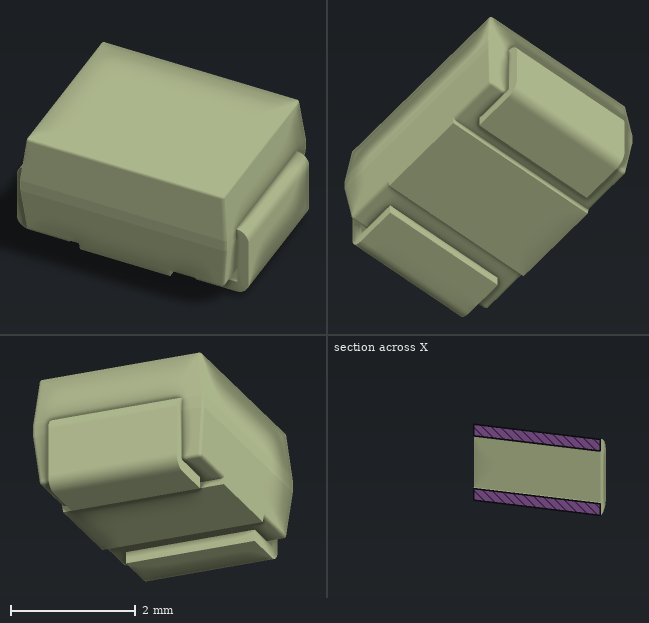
import cadquery as cq
import math

total_length = 4.14
total_height = 2.1
body_width = 3.0

lead_thickness = 0.2
lead_width = 2.25
lead_bend_radius = 0.225
pad_end_x = 1.12
inner_bend_radius = lead_bend_radius - lead_thickness

body_length = total_length - 2 * lead_bend_radius
body_bottom_z = 0.253
belt_bottom_z = 1.075
belt_top_z = 1.285
draft_angle = 6.0
edge_radius = 0.05

foot_length = 1.805
foot_bottom_z = 0.155

lead_top_z = belt_bottom_z + lead_thickness


def drafted_block(length, width, start_z, end_z):
    """Rectangle at start_z that narrows at the draft angle until it reaches end_z."""
    inset = abs(end_z - start_z) * math.tan(math.radians(draft_angle))
    return (
        cq.Workplane("XY")
        .workplane(offset=start_z)
        .rect(length, width)
        .workplane(offset=end_z - start_z)
        .rect(length - 2 * inset, width - 2 * inset)
        .loft(ruled=True)
    )


def housing_half(start_z, end_z, end_face):
    """Drafted half with rounded corners and a rounded rim on its end face."""
    half = drafted_block(body_length, body_width, start_z, end_z)
    rounded = half.edges("not(#Z)").fillet(edge_radius)
    return rounded.faces(end_face).edges().fillet(edge_radius)


def make_housing():
    """Belt, two drafted halves and the foot joined into one moulded body."""
    belt = (
        cq.Workplane("XY")
        .workplane(offset=belt_bottom_z)
        .rect(body_length, body_width)
        .extrude(belt_top_z - belt_bottom_z)
        .edges("|Z")
        .fillet(edge_radius)
    )
    upper = housing_half(belt_top_z, total_height, ">Z")
    lower = housing_half(belt_bottom_z, body_bottom_z, "<Z")
    foot = drafted_block(foot_length, body_width, belt_bottom_z, foot_bottom_z)
    return belt.union(upper, clean=False).union(lower, clean=False).union(foot, clean=False)


def make_lead(side):
    """C-shaped lead from the belt face, down and under the housing; side is -1 or +1."""
    outer_x = side * total_length / 2
    inner_x = side * (total_length / 2 - lead_thickness)
    bend_x = side * body_length / 2
    upper_bend_z = lead_top_z - lead_bend_radius
    lower_bend_z = lead_bend_radius
    diagonal = math.sqrt(0.5)

    def bend_middle(radius, center_z, vertical):
        """Midpoint of a bend arc; vertical is +1 for the upper bend and -1 for the lower."""
        return (bend_x + side * radius * diagonal, center_z + vertical * radius * diagonal)

    return (
        cq.Workplane("XZ")
        .moveTo(bend_x, lead_top_z)
        .threePointArc(bend_middle(lead_bend_radius, upper_bend_z, 1), (outer_x, upper_bend_z))
        .lineTo(outer_x, lower_bend_z)
        .threePointArc(bend_middle(lead_bend_radius, lower_bend_z, -1), (bend_x, 0))
        .lineTo(side * pad_end_x, 0)
        .lineTo(side * pad_end_x, lead_thickness)
        .lineTo(bend_x, lead_thickness)
        .threePointArc(bend_middle(inner_bend_radius, lower_bend_z, -1), (inner_x, lower_bend_z))
        .lineTo(inner_x, upper_bend_z)
        .threePointArc(bend_middle(inner_bend_radius, upper_bend_z, 1), (bend_x, belt_bottom_z))
        .close()
        .extrude(lead_width / 2, both=True)
    )


housing = make_housing()
leads = [make_lead(side) for side in (-1, 1)]

result = cq.Compound.makeCompound([housing.val(), *[lead.val() for lead in leads]])